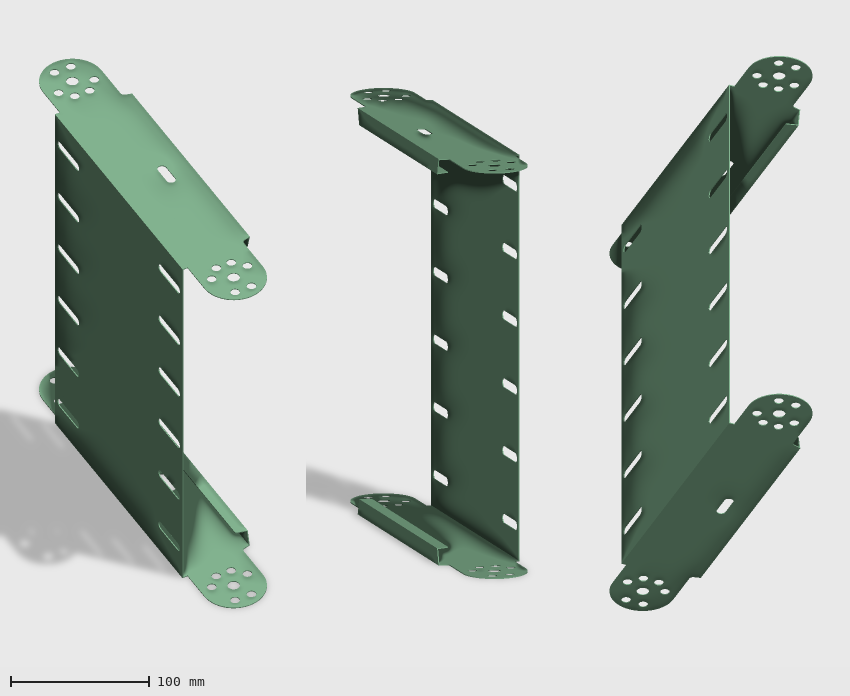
import cadquery as cq
import math

height = 300.0
depth = 59.5
total_width = 288.0
web_width = 190.0
thickness = 0.75

front = -depth / 2
back = depth / 2
cutter_depth = 3 * thickness

ear_radius = 24.0
ear_x = total_width / 2 - ear_radius
ear_y = -1.5

centre_hole_diameter = 9.0
ring_hole_diameter = 7.0
ring_radius = 16.0
inner_ring_angles = (22.5, 67.5, 292.5, 337.5)
outer_ring_angles = (155, 205)

lip_width = 175.2
lip_height = 12.0
lip_return = 9.0
notch_radius = 3.0
end_slope = 0.25

web_slot_length = 32.0
web_slot_height = 7.0
web_slot_x = 75.0
web_slot_rows = 6
web_slot_pitch = height / web_slot_rows
flange_slot_length = 20.0
flange_slot_width = 7.0
flange_slot_y = 9.5


def make_web():
    """Upright plate across the front."""
    plane = cq.Workplane("XY", origin=(0, front + thickness / 2, 0))
    return plane.box(web_width, thickness, height)


def make_top_flange():
    """Top flange with an ear at each end and the pierced hole patterns."""
    ear_front = ear_y - ear_radius
    ear_back = ear_y + ear_radius
    half_web = web_width / 2
    half_lip = lip_width / 2
    notch_x = half_lip + end_slope * (back - ear_back)
    tip = total_width / 2
    flange = (
        cq.Workplane("XY", origin=(0, 0, height / 2 - thickness))
        .moveTo(-half_web, front)
        .lineTo(half_web, front)
        .lineTo(half_web, ear_front)
        .lineTo(ear_x, ear_front)
        .threePointArc((tip, ear_y), (ear_x, ear_back))
        .lineTo(notch_x, ear_back)
        .lineTo(half_lip, back)
        .lineTo(-half_lip, back)
        .lineTo(-notch_x, ear_back)
        .lineTo(-ear_x, ear_back)
        .threePointArc((-tip, ear_y), (-ear_x, ear_front))
        .lineTo(-half_web, ear_front)
        .close()
        .extrude(thickness)
    )
    for x in (-notch_x, notch_x):
        corner = cq.NearestToPointSelector((x, ear_back, height / 2 - thickness / 2))
        flange = flange.edges("|Z").edges(corner).fillet(notch_radius)
    return flange.cut(make_flange_holes())


def make_flange_holes():
    """Cutters for the ring patterns and the single flange slot."""
    ring = [
        (ring_radius * math.cos(math.radians(angle)), ring_radius * math.sin(math.radians(angle)))
        for angle in inner_ring_angles + outer_ring_angles
    ]
    plane = cq.Workplane("XY", origin=(0, 0, height / 2 - 2 * thickness))
    left_pattern = [(-ear_x + x, ear_y + y) for x, y in ring]
    right_pattern = [(ear_x - x, ear_y + y) for x, y in ring]
    ring_holes = (
        plane.pushPoints(left_pattern + right_pattern)
        .circle(ring_hole_diameter / 2)
        .extrude(cutter_depth)
    )
    centre_holes = (
        plane.pushPoints([(-ear_x, ear_y), (ear_x, ear_y)])
        .circle(centre_hole_diameter / 2)
        .extrude(cutter_depth)
    )
    slot = (
        plane.pushPoints([(0, flange_slot_y)])
        .slot2D(flange_slot_length, flange_slot_width)
        .extrude(cutter_depth)
    )
    return ring_holes.union(centre_holes).union(slot)


def make_tapered_strip(plane, start_width, length):
    """Strip that narrows along the plane's local -Y direction, one thickness deep."""
    half_start = start_width / 2
    half_end = half_start - end_slope * length
    return (
        plane.moveTo(-half_start, 0)
        .lineTo(half_start, 0)
        .lineTo(half_end, -length)
        .lineTo(-half_end, -length)
        .close()
        .extrude(thickness)
    )


def make_top_lip():
    """Lip folded down from the top flange and returned toward the web, with tapered ends."""
    top = height / 2
    leg_plane = cq.Workplane("XZ", origin=(0, back, top))
    leg = make_tapered_strip(leg_plane, lip_width, lip_height)
    fold_width = lip_width - 2 * end_slope * lip_height
    return_plane = cq.Workplane("XY", origin=(0, back, top - lip_height))
    return_strip = make_tapered_strip(return_plane, fold_width, lip_return)
    return leg.union(return_strip)


def make_web_slots():
    """Two columns of horizontal slots through the web."""
    return (
        cq.Workplane("XZ", origin=(0, front + 2 * thickness, 0))
        .rarray(2 * web_slot_x, web_slot_pitch, 2, web_slot_rows)
        .slot2D(web_slot_length, web_slot_height)
        .extrude(cutter_depth)
    )


top_side = make_top_flange().union(make_top_lip())
bottom_side = top_side.mirror("XY")
web = make_web().cut(make_web_slots())
result = web.union(top_side).union(bottom_side)